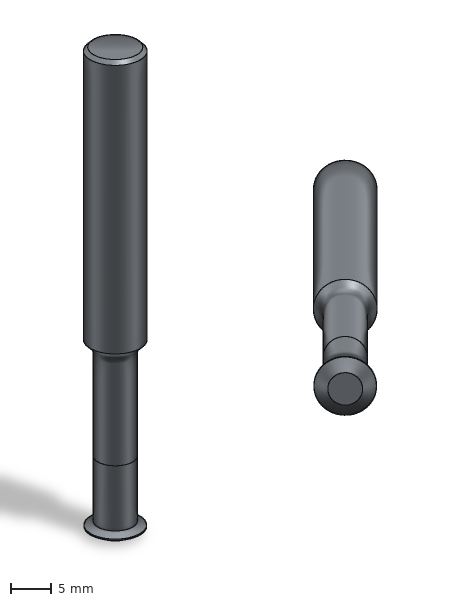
import cadquery as cq
import math

total_length = 68.0
joint_z = 10.8
neck_radius = 5.5 / 2

shank_radius = 7.95 / 2
top_chamfer = 0.55
neck_top_z = 25.15
neck_fillet_radius = 1.7
shoulder_angle = math.radians(45)

head_radius = 7.8 / 2
tip_radius = 2.2
rim_bottom_z = 0.95
rim_width = 0.2
head_top_z = 1.7


def make_holder():
    """Shank with a chamfered top, narrowing through a cone and fillet to the neck."""

    def fillet_point(angle):
        """Point on the concave fillet, by its angle from the end of the straight neck."""
        radius = neck_radius + neck_fillet_radius * (1 - math.cos(angle))
        height = neck_top_z + neck_fillet_radius * math.sin(angle)
        return (radius, height)

    cone_bottom_radius, cone_bottom_z = fillet_point(shoulder_angle)
    shank_bottom_z = cone_bottom_z + (shank_radius - cone_bottom_radius) / math.tan(shoulder_angle)

    return (
        cq.Workplane("XZ")
        .moveTo(0, joint_z)
        .lineTo(neck_radius, joint_z)
        .lineTo(neck_radius, neck_top_z)
        .threePointArc(fillet_point(shoulder_angle / 2), fillet_point(shoulder_angle))
        .lineTo(shank_radius, shank_bottom_z)
        .lineTo(shank_radius, total_length - top_chamfer)
        .lineTo(shank_radius - top_chamfer, total_length)
        .lineTo(0, total_length)
        .close()
        .revolve(360, (0, 0), (0, 1))
    )


def make_cutter():
    """Round stem carrying a double-cone head with a narrow rim."""
    return (
        cq.Workplane("XZ")
        .lineTo(tip_radius, 0)
        .lineTo(head_radius, rim_bottom_z)
        .lineTo(head_radius, rim_bottom_z + rim_width)
        .lineTo(neck_radius, head_top_z)
        .lineTo(neck_radius, joint_z)
        .lineTo(0, joint_z)
        .close()
        .revolve(360, (0, 0), (0, 1))
    )


holder = make_holder()
cutter = make_cutter()
result = cq.Compound.makeCompound([holder.val(), cutter.val()])